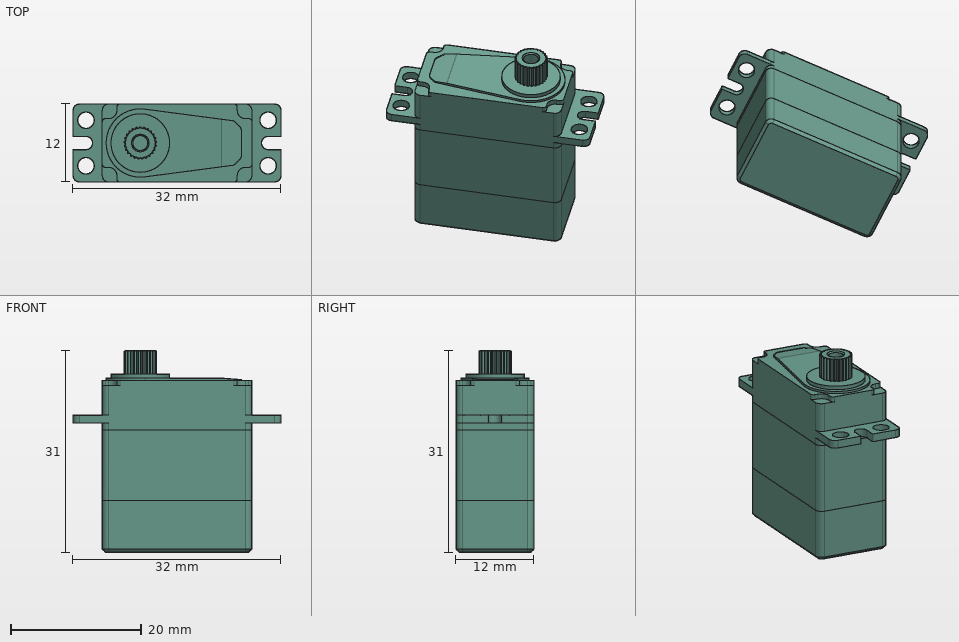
import cadquery as cq
import math

case_length = 23.0
case_width = 12.0
corner_radius = 1.0
bottom_chamfer = 0.5
bottom_cover_height = 8.0
middle_case_height = 10.8
top_case_height = 7.65
top_case_base = bottom_cover_height + middle_case_height
case_top = top_case_base + top_case_height

tab_span = 32.0
tab_thickness = 1.25
tab_base = top_case_base + 1.05
tab_corner_radius = 1.0
mount_hole_diameter = 2.5
mount_hole_spacing_x = 28.0
mount_hole_spacing_y = 7.0
tab_slot_width = 2.0
tab_slot_edge_radius = 0.1

notch_depth = 0.8
notch_radius = 1.25
notch_entry_radius = 0.5
notch_size = corner_radius + notch_radius

shaft_x = -5.65
plate_radius = 5.25
plate_height = 0.35
plate_end_height = 0.1
plate_end_x = 9.9
plate_end_half_width = 3.25
plate_bevel = 1.15
plate_bevel_radius = 1.0
plate_slope_start_x = 6.8
boss_diameter = 9.0
boss_top = case_top + 0.95

shaft_top = 31.0
shaft_height = shaft_top - boss_top
tooth_count = 25
spline_tip_radius = 2.5
spline_root_radius = 2.25
spline_tip_width = 0.1
spline_bevel_width = 0.2
spline_bevel_height = 0.1
bore_diameter = 2.3
bore_chamfer = 0.2
bore_depth = 3.0


def case_block(base, height):
    """Block of the case with its four upright edges rounded."""
    return (
        cq.Workplane("XY", origin=(0, 0, base))
        .rect(case_length, case_width)
        .extrude(height)
        .edges("|Z")
        .fillet(corner_radius)
    )


def mounting_tabs():
    """Flat plate through the case with two holes and one open slot at each end."""
    plate = (
        cq.Workplane("XY", origin=(0, 0, tab_base))
        .rect(tab_span, case_width)
        .extrude(tab_thickness)
        .edges("|Z")
        .fillet(tab_corner_radius)
    )
    holes = (
        cq.Workplane("XY", origin=(0, 0, tab_base))
        .rect(mount_hole_spacing_x, mount_hole_spacing_y, forConstruction=True)
        .vertices()
        .circle(mount_hole_diameter / 2)
        .extrude(tab_thickness)
    )
    slot_length = tab_span - mount_hole_spacing_x + tab_slot_width
    slots = (
        cq.Workplane("XY", origin=(0, 0, tab_base))
        .pushPoints([(-tab_span / 2, 0), (tab_span / 2, 0)])
        .slot2D(slot_length, tab_slot_width)
        .extrude(tab_thickness)
    )
    mouth = cq.selectors.BoxSelector(
        (-tab_span, -tab_slot_width, tab_base),
        (tab_span, tab_slot_width, tab_base + tab_thickness),
    )
    slotted = plate.cut(slots)
    slotted = slotted.edges(mouth).edges("<X or >X").fillet(tab_slot_edge_radius)
    return slotted.cut(holes)


def corner_notch(side_x, side_y):
    """Pocket open to both sides of a corner, with a round inner corner and flared mouths."""
    half_length = case_length / 2
    half_width = case_width / 2
    diagonal = math.sqrt(0.5)
    inner = notch_size
    mouth = notch_size + notch_entry_radius
    arc_middle = corner_radius + notch_radius * diagonal
    flare_near = notch_entry_radius * (1 - diagonal)
    flare_far = notch_size + flare_near

    def at(inward_x, inward_y):
        return side_x * (half_length - inward_x), side_y * (half_width - inward_y)

    return (
        cq.Workplane("XY", origin=(0, 0, case_top - notch_depth))
        .moveTo(*at(0, 0))
        .lineTo(*at(mouth, 0))
        .threePointArc(at(flare_far, flare_near), at(inner, notch_entry_radius))
        .lineTo(*at(inner, corner_radius))
        .threePointArc(at(arc_middle, arc_middle), at(corner_radius, inner))
        .lineTo(*at(notch_entry_radius, inner))
        .threePointArc(at(flare_near, flare_far), at(0, mouth))
        .close()
        .extrude(notch_depth)
    )


def teardrop_plate():
    """Plate around the shaft with straight tapering sides and a far end that slopes down."""
    run = plate_end_x - shaft_x
    corner_distance = math.hypot(run, plate_end_half_width)
    corner_angle = math.atan2(plate_end_half_width, run)
    tangent_angle = corner_angle + math.acos(plate_radius / corner_distance)
    tangent_x = shaft_x + plate_radius * math.cos(tangent_angle)
    tangent_y = plate_radius * math.sin(tangent_angle)

    taper = (tangent_y - plate_end_half_width) / (plate_end_x - tangent_x)
    bevel_start_x = plate_end_x - plate_bevel
    bevel_start_y = plate_end_half_width + taper * plate_bevel
    bevel_end_y = bevel_start_y - plate_bevel

    plate = (
        cq.Workplane("XY", origin=(0, 0, case_top))
        .moveTo(plate_end_x, -bevel_end_y)
        .lineTo(plate_end_x, bevel_end_y)
        .lineTo(bevel_start_x, bevel_start_y)
        .lineTo(tangent_x, tangent_y)
        .threePointArc((shaft_x - plate_radius, 0), (tangent_x, -tangent_y))
        .lineTo(bevel_start_x, -bevel_start_y)
        .close()
        .extrude(plate_height)
        .edges("|Z and >X")
        .fillet(plate_bevel_radius)
    )
    slope_cut = (
        cq.Workplane("XZ")
        .moveTo(plate_slope_start_x, case_top + plate_height)
        .lineTo(plate_end_x, case_top + plate_height)
        .lineTo(plate_end_x, case_top + plate_end_height)
        .close()
        .extrude(case_width / 2, both=True)
    )
    return plate.cut(slope_cut)


def make_bottom_cover():
    return case_block(0, bottom_cover_height).faces("<Z").chamfer(bottom_chamfer)


def make_middle_case():
    return case_block(bottom_cover_height, middle_case_height)


def make_top_case():
    boss = (
        cq.Workplane("XY", origin=(shaft_x, 0, case_top))
        .circle(boss_diameter / 2)
        .extrude(boss_top - case_top)
    )
    case = case_block(top_case_base, top_case_height).union(mounting_tabs())
    for side_x in (-1, 1):
        for side_y in (-1, 1):
            case = case.cut(corner_notch(side_x, side_y))
    return case.union(teardrop_plate()).union(boss)


def polar_point(radius, angle):
    return radius * math.cos(angle), radius * math.sin(angle)


def make_output_shaft():
    """Shaft with narrow spline teeth over V-shaped grooves, a bevelled top and a blind screw bore."""
    pitch = 2 * math.pi / tooth_count
    half_tip = math.asin(spline_tip_width / 2 / spline_tip_radius)
    outline = []
    for tooth in range(tooth_count):
        center = math.pi / 2 + tooth * pitch
        outline.append(polar_point(spline_tip_radius, center - half_tip))
        outline.append(polar_point(spline_tip_radius, center + half_tip))
        outline.append(polar_point(spline_root_radius, center + pitch / 2))
    origin = (shaft_x, 0, boss_top)
    spline = cq.Workplane("XY", origin=origin).polyline(outline).close().extrude(shaft_height)
    bevelled_envelope = (
        cq.Workplane("XY", origin=origin)
        .circle(spline_tip_radius)
        .extrude(shaft_height)
        .faces(">Z")
        .chamfer(spline_bevel_height, spline_bevel_width)
    )
    bore_radius = bore_diameter / 2
    bore = (
        cq.Workplane("XZ", origin=(shaft_x, 0, shaft_top))
        .moveTo(0, 0)
        .lineTo(bore_radius + bore_chamfer, 0)
        .lineTo(bore_radius, -bore_chamfer)
        .lineTo(bore_radius, -bore_depth)
        .lineTo(0, -bore_depth)
        .close()
        .revolve(360, (0, 0, 0), (0, 1, 0))
    )
    return spline.intersect(bevelled_envelope).cut(bore)


bottom_cover = make_bottom_cover()
middle_case = make_middle_case()
top_case = make_top_case()
output_shaft = make_output_shaft()

result = cq.Compound.makeCompound(
    [bottom_cover.val(), middle_case.val(), top_case.val(), output_shaft.val()]
)